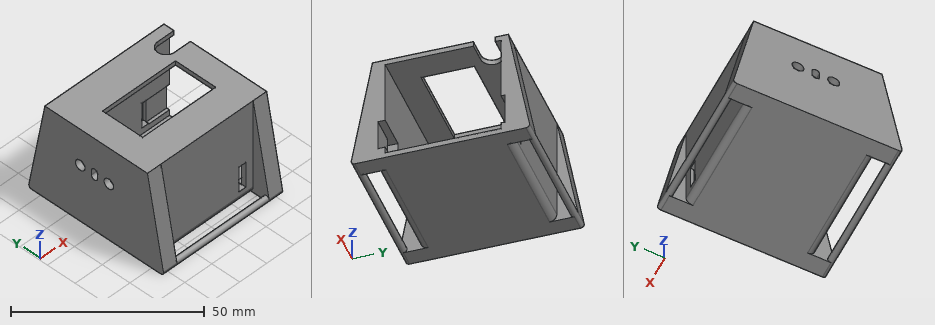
import cadquery as cq
import math

LENGTH = 44.0
SPREAD = 48.6
HEIGHT = 32.0
BODY_WIDTH = 37.03

END_WALL = 2.0
FRONT_WALL = 3.5
REAR_WALL = 2.0
PLATE = 1.5
BOTTOM_FILLET = 2.0

LEG_LENGTH = 5.0
ROD_DIAMETER = 2.0

WINDOW_LENGTH = 26.9
WINDOW_WIDTH = 14.5
WINDOW_X = 0.5
WINDOW_Y = -0.75

NOTCH_WIDTH = 5.95
NOTCH_START = 13.05
NOTCH_Y = 11.95

HOLE_DIAMETER = 3.4
HOLE_OFFSET = 5.15
SLOT_WIDTH = 2.2
SLOT_HEIGHT = 3.8
ROW_Y = 0.6
ROW_Z = 19.5

SIDE_SLOT_START = 11.75
SIDE_SLOT_LENGTH = 2.58
SIDE_SLOT_BOTTOM = 3.65
SIDE_SLOT_HEIGHT = 8.6
RECESS_BOTTOM = 3.4
FRONT_WEB = 1.5
REAR_WEB = 0.95

END_X = LENGTH / 2
SPAN = LENGTH - 2 * LEG_LENGTH
SIDE_Y = BODY_WIDTH / 2
ROD_RADIUS = ROD_DIAMETER / 2
ROD_Y = SPREAD / 2 - ROD_RADIUS


def block(x_range, y_range, z_range):
    """Box spanning the given (low, high) ranges."""
    lows, highs = zip(x_range, y_range, z_range)
    sizes = [high - low for low, high in zip(lows, highs)]
    return cq.Workplane("XY").box(*sizes, centered=False).translate(lows)


def foot_point(side, angle):
    """Point on the round of a foot; the angle is measured upward from straight outward."""
    y = ROD_Y + ROD_RADIUS * math.cos(angle)
    return side * y, ROD_RADIUS + ROD_RADIUS * math.sin(angle)


def make_end_slab(start_x):
    """Full-width end slab whose flared sides, the legs, are tangent to their round feet."""
    rise = HEIGHT - ROD_RADIUS
    run = ROD_Y - SIDE_Y
    tangent_angle = math.atan2(rise, -run) - math.acos(ROD_RADIUS / math.hypot(run, rise))
    middle_angle = (tangent_angle - math.pi / 2) / 2
    profile = (
        cq.Workplane("YZ")
        .moveTo(-ROD_Y, 0)
        .lineTo(ROD_Y, 0)
        .threePointArc(foot_point(1, middle_angle), foot_point(1, tangent_angle))
        .lineTo(SIDE_Y, HEIGHT)
        .lineTo(-SIDE_Y, HEIGHT)
        .lineTo(*foot_point(-1, tangent_angle))
        .threePointArc(foot_point(-1, middle_angle), (-ROD_Y, 0))
        .close()
    )
    return profile.extrude(LEG_LENGTH).translate((start_x, 0, 0))


def make_middle():
    """Box between the end slabs, with rounded lower edges."""
    middle = cq.Workplane("XY").box(SPAN, BODY_WIDTH, HEIGHT, centered=(True, True, False))
    return middle.edges("|X and <Z").fillet(BOTTOM_FILLET)


def make_rods():
    plane = cq.Workplane("YZ").pushPoints([(-ROD_Y, ROD_RADIUS), (ROD_Y, ROD_RADIUS)])
    return plane.circle(ROD_RADIUS).extrude(SPAN).translate((-SPAN / 2, 0, 0))


def make_cavity():
    return block(
        (-END_X + END_WALL, END_X),
        (-SIDE_Y + FRONT_WALL, SIDE_Y - REAR_WALL),
        (PLATE, HEIGHT - PLATE),
    )


def make_top_openings():
    window = cq.Workplane("XY").box(WINDOW_LENGTH, WINDOW_WIDTH, PLATE, centered=(True, True, False))
    window = window.translate((WINDOW_X, WINDOW_Y, HEIGHT - PLATE))
    radius = NOTCH_WIDTH / 2
    round_x = NOTCH_START + radius
    z_range = (HEIGHT - PLATE, HEIGHT)
    notch = block((round_x, END_X), (NOTCH_Y - radius, NOTCH_Y + radius), z_range)
    notch_end = cq.Workplane("XY").circle(radius).extrude(PLATE)
    return window.union(notch).union(notch_end.translate((round_x, NOTCH_Y, HEIGHT - PLATE)))


def make_end_openings():
    holes = cq.Workplane("YZ").pushPoints([(-HOLE_OFFSET, 0), (HOLE_OFFSET, 0)])
    holes = holes.circle(HOLE_DIAMETER / 2).extrude(END_WALL)
    slot = cq.Workplane("YZ").slot2D(SLOT_HEIGHT, SLOT_WIDTH, 90).extrude(END_WALL)
    return holes.union(slot).translate((-END_X, ROW_Y, ROW_Z))


def make_side_openings():
    z_range = (SIDE_SLOT_BOTTOM, SIDE_SLOT_BOTTOM + SIDE_SLOT_HEIGHT)
    slot_end = SIDE_SLOT_START + SIDE_SLOT_LENGTH
    slots = block((SIDE_SLOT_START, slot_end), (-SIDE_Y, SIDE_Y), z_range)
    recess_y = (-SIDE_Y + FRONT_WEB, SIDE_Y - REAR_WEB)
    return slots.union(block((slot_end, END_X), recess_y, (RECESS_BOTTOM, z_range[1])))


result = make_middle().union(make_end_slab(-END_X)).union(make_end_slab(SPAN / 2))
result = result.union(make_rods()).cut(make_cavity())
result = result.cut(make_top_openings()).cut(make_end_openings()).cut(make_side_openings())